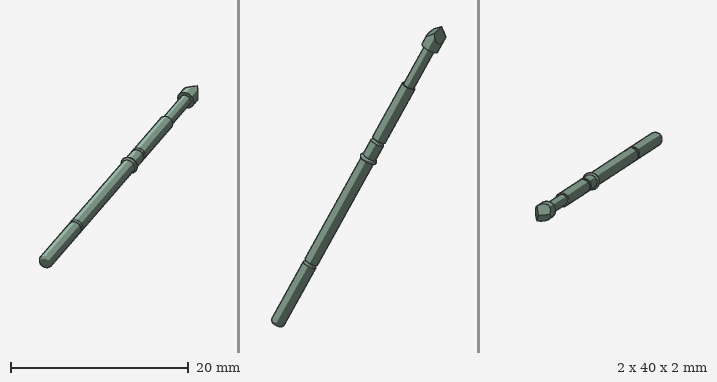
import cadquery as cq
import math

length = 40.0
head_radius = 1.0
neck_radius = 0.65
body_radius = 0.8
tail_fillet = 0.4

head_end = 2.9
neck_end = 8.0

collar_center = 17.75
collar_edge_radius = 0.25

groove_centers = (15.4, 31.8)
groove_width = 0.4
groove_depth = 0.1

point_faces = 3
point_half_angle = 30.0


def rod(radius, start, end):
    """Cylinder on the Y axis between two stations measured from the tip."""
    plane = cq.Workplane("XZ", origin=(0, length / 2 - start, 0))
    return plane.circle(radius).extrude(end - start)


def point_cutter(angle):
    """Material outside one flat of the point, facing +X before turning by angle about Y."""
    reach = 2 * head_radius
    drop = reach / math.tan(math.radians(point_half_angle))
    tip = length / 2
    return (
        cq.Workplane("XY")
        .workplane(offset=-reach)
        .polyline([(0, tip), (reach, tip - drop), (reach, tip + reach), (0, tip + reach)])
        .close()
        .extrude(2 * reach)
        .rotate((0, 0, 0), (0, 1, 0), angle)
    )


def groove(center):
    """Ring-shaped cutter with a circular-arc section."""
    half_width = groove_width / 2
    y = length / 2 - center
    return (
        cq.Workplane("XY")
        .moveTo(body_radius, y - half_width)
        .threePointArc((body_radius - groove_depth, y), (body_radius, y + half_width))
        .close()
        .revolve(360, (0, 0, 0), (0, 1, 0))
    )


def collar():
    """Press ring with a fully rounded rim."""
    y = length / 2 - collar_center
    rim = head_radius - collar_edge_radius
    return (
        cq.Workplane("XY")
        .moveTo(0, y - collar_edge_radius)
        .lineTo(rim, y - collar_edge_radius)
        .threePointArc((head_radius, y), (rim, y + collar_edge_radius))
        .lineTo(0, y + collar_edge_radius)
        .close()
        .revolve(360, (0, 0, 0), (0, 1, 0))
    )


head = rod(head_radius, 0, head_end)
for index in range(point_faces):
    head = head.cut(point_cutter(index * 360 / point_faces))

body = rod(body_radius, neck_end, length).faces("<Y").edges().fillet(tail_fillet)
body = body.union(collar())
for center in groove_centers:
    body = body.cut(groove(center))

result = head.union(rod(neck_radius, head_end, neck_end)).union(body)